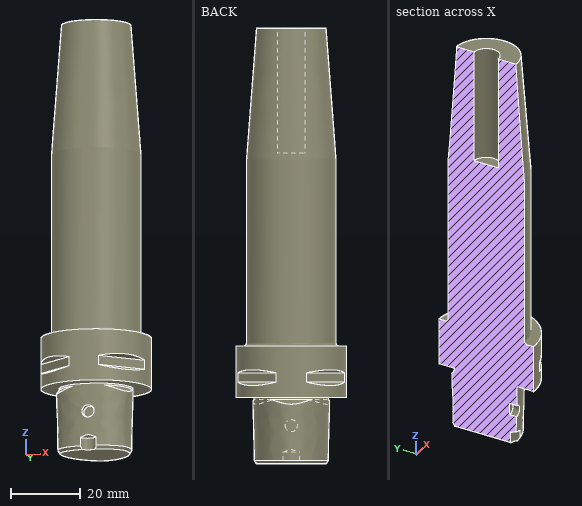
import cadquery as cq
import math

total_height = 126.0
flange_bottom = 19.2
flange_top = 34.1
nose_start = 88.0

flange_radius = 16.0
body_radius = 13.0
nose_radius = 10.1
collar_radius = 13.9
collar_fillet = collar_radius - body_radius
bore_diameter = 8.1
bore_depth = 36.0

lobe_height = 0.6
shank_radius = 11.1
shank_taper_drop = 0.4
shank_straight_start = 16.6
shank_chamfer_height = 1.0
shank_chamfer_width = 0.6
lobe_samples = 48

relief_radius = 10.8
relief_start = 17.3
relief_end = 18.6

groove_floor_bottom = 23.7
groove_floor_top = 26.3
groove_mouth_bottom = 22.7
groove_mouth_top = 27.2
groove_floor_distance = 14.0

side_hole_diameter = 3.5
side_hole_height = 11.1
side_hole_depth = 2.5
notch_radius = 2.5
notch_axis_distance = 10.8
notch_height = 3.4
notch_tip_height = 1.0


def lobed_wire(radius, height):
    """Closed three-lobed curve with one lobe on +Y, traced from its support function."""
    points = []
    for index in range(lobe_samples):
        angle = 2 * math.pi * index / lobe_samples
        lobe_phase = 3 * (angle - math.pi / 2)
        reach = radius + lobe_height * math.cos(lobe_phase)
        slope = -3 * lobe_height * math.sin(lobe_phase)
        x = reach * math.cos(angle) - slope * math.sin(angle)
        y = reach * math.sin(angle) + slope * math.cos(angle)
        points.append(cq.Vector(x, y, height))
    return cq.Wire.assembleEdges([cq.Edge.makeSpline(points, periodic=True)])


def lobed_section(bottom_radius, bottom, top_radius, top):
    wires = [lobed_wire(bottom_radius, bottom), lobed_wire(top_radius, top)]
    return cq.Workplane(obj=cq.Solid.makeLoft(wires, True))


def make_body():
    fillet_middle = collar_fillet * (1 - math.sqrt(0.5))
    return (
        cq.Workplane("XZ")
        .moveTo(0, flange_bottom)
        .lineTo(flange_radius, flange_bottom)
        .lineTo(flange_radius, flange_top)
        .lineTo(collar_radius, flange_top)
        .threePointArc(
            (body_radius + fillet_middle, flange_top + fillet_middle),
            (body_radius, flange_top + collar_fillet),
        )
        .lineTo(body_radius, nose_start)
        .lineTo(nose_radius, total_height)
        .lineTo(0, total_height)
        .close()
        .revolve(360, (0, 0), (0, 1))
    )


def make_shank():
    lower_radius = shank_radius - shank_taper_drop
    tip_radius = lower_radius - shank_chamfer_width
    tip = lobed_section(tip_radius, 0, lower_radius, shank_chamfer_height)
    taper = lobed_section(lower_radius, shank_chamfer_height, shank_radius, shank_straight_start)
    straight = lobed_section(shank_radius, shank_straight_start, shank_radius, flange_bottom)
    lobe_tip_radius = shank_radius + lobe_height
    relief_envelope = (
        cq.Workplane("XZ")
        .moveTo(0, shank_straight_start)
        .lineTo(flange_radius, shank_straight_start)
        .lineTo(flange_radius, relief_start)
        .lineTo(lobe_tip_radius, relief_start)
        .lineTo(relief_radius, relief_end)
        .lineTo(relief_radius, flange_bottom)
        .lineTo(0, flange_bottom)
        .close()
        .revolve(360, (0, 0), (0, 1))
    )
    return tip.union(taper).union(straight.intersect(relief_envelope))


def make_gripper_groove(angle):
    """Straight groove with sloping walls, cut across the flange rim at the given angle."""
    rim_depth = flange_radius - groove_floor_distance
    outer_distance = flange_radius + rim_depth
    lower_rise = 2 * (groove_floor_bottom - groove_mouth_bottom)
    upper_rise = 2 * (groove_mouth_top - groove_floor_top)
    return (
        cq.Workplane("XZ")
        .moveTo(groove_floor_distance, groove_floor_bottom)
        .lineTo(outer_distance, groove_floor_bottom - lower_rise)
        .lineTo(outer_distance, groove_floor_top + upper_rise)
        .lineTo(groove_floor_distance, groove_floor_top)
        .close()
        .extrude(flange_radius, both=True)
        .rotate((0, 0, 0), (0, 0, 1), angle)
    )


def make_side_hole():
    floor_distance = shank_radius - lobe_height - side_hole_depth
    return (
        cq.Workplane("XZ", origin=(0, -floor_distance, side_hole_height))
        .circle(side_hole_diameter / 2)
        .extrude(2 * side_hole_depth)
    )


def make_drive_notch():
    """Upright round notch with a conical end."""
    return (
        cq.Workplane("XZ", origin=(0, -notch_axis_distance, 0))
        .lineTo(notch_radius, 0)
        .lineTo(notch_radius, notch_height)
        .lineTo(0, notch_height + notch_tip_height)
        .close()
        .revolve(360, (0, 0), (0, 1))
    )


result = make_body().union(make_shank())
for groove_angle in (45, 135, 225, 315):
    result = result.cut(make_gripper_groove(groove_angle))
result = result.cut(make_side_hole()).cut(make_drive_notch())
result = result.faces(">Z").workplane().hole(bore_diameter, bore_depth)